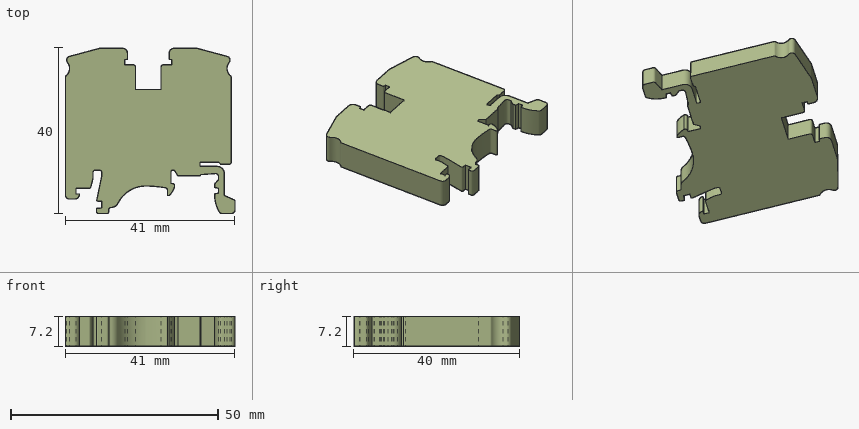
import cadquery as cq
import math

thickness = 7.2
overall_width = 41.0
overall_height = 39.95
body_width = 40.05
mid_x = body_width / 2
rail_ceiling = 9.1

shoulder_x = 8.35
shoulder_angle = 15.0
nose_inset = 0.3
nose_radius = 0.95
grip_radius = 2.3
grip_depth = 1.0
grip_edge_radius = 0.5

opening_half_width = 3.05
opening_floor = 30.0
ledge_y = 35.95
ledge_edge_radius = 0.6
lip_half_gap = 5.0
lip_bottom = 37.15
lip_radius = 1.3
lip_lower_radius = 0.3
undercut_half_width = 5.65

leg_bottom = 3.5
leg_corner_radius = 1.0
leg_toe_x = 3.45
leg_toe_top = 4.8
leg_toe_radius = 1.25
leg_notch_x = 2.6
leg_notch_top = 6.13
leg_inner_x = 6.1
leg_inner_radius = 0.5

flex_slot_left = 6.7
flex_slot_right = 8.75
flex_slot_top = 10.45
leg_flare_y = 8.5
foot_flare_y = 9.05
flex_slot_radius = 0.45

foot_left = 7.5
foot_right = 10.5
foot_heel_bottom = 3.0
foot_heel_radius = 0.3
foot_notch_floor = 1.4
foot_toe_top = 1.3
foot_radius = 0.5
foot_step_y = 1.47
foot_step_radius = 0.49

arch_x = 19.36
arch_crown = 6.65
arch_left_radius = 7.4
arch_right_radius = 27.0
arch_blend_radius = 1.95

hook_left = 24.6
hook_tip_y = 4.35
hook_tip_width = 0.45
hook_tip_radius = 0.25
hook_nose_x = 26.4
hook_nose_y = 6.5
hook_top = 7.3
hook_nose_radius = 0.6
hook_belly_radius = 5.0
hook_corner_radius = 0.5

relief_left = 25.55
relief_top_right = 26.3
relief_bottom_right = 27.15
relief_top = 10.45
relief_radius = 0.2

gap_left = 32.5
gap_bottom = 11.45
gap_top = 12.4
gap_ramp_x = 37.0
gap_mouth_top = 11.9
gap_radius = 0.2
body_corner_radius = 0.5

arm_outer_x = 38.4
arm_inner_x = 36.95
arm_outer_radius = 1.8
arm_inner_radius = 0.7
arm_step_x = 32.7
arm_step_y = 9.4
arm_ceiling = 9.7
latch_x = 36.0
latch_ramp_top = 8.25
latch_ramp_bottom = 7.15
latch_notch_top = 6.3
latch_notch_bottom = 4.8
latch_notch_taper = 0.2
latch_curve_top = 4.3
latch_curve_radius = 8.0
latch_bottom_x = 37.4
handle_inner_y = 4.4
handle_outer_y = 3.25
handle_upper_radius = 0.7
handle_lower_radius = 1.0
latch_bottom_radius = 0.8


def prism(points):
    """Extrude a closed polygon through the full thickness."""
    return cq.Workplane("XY").polyline(points).close().extrude(thickness)


def rounded(solid, radius, *corners):
    """Round the upright edges standing on the given XY corners."""
    for x, y in corners:
        edge = cq.selectors.NearestToPointSelector((x, y, thickness / 2))
        solid = solid.edges("|Z").edges(edge).fillet(radius)
    return solid


def make_body():
    slope = math.radians(shoulder_angle)
    nose_x = nose_inset + nose_radius
    slope_y = overall_height - (shoulder_x - nose_x) * math.tan(slope)
    nose_y = slope_y - nose_radius / math.cos(slope)
    nose_start = (nose_x - nose_radius * math.sin(slope), nose_y + nose_radius * math.cos(slope))

    grip_x = grip_depth - grip_radius
    contact_angle = math.acos((nose_x - grip_x) / (nose_radius + grip_radius))
    grip_y = nose_y - (nose_radius + grip_radius) * math.sin(contact_angle)
    grip_start = (
        grip_x + grip_radius * math.cos(contact_angle),
        grip_y + grip_radius * math.sin(contact_angle),
    )
    grip_end_y = grip_y - math.sqrt(grip_radius**2 - grip_x**2)

    half = (
        cq.Workplane("XY")
        .moveTo(mid_x, rail_ceiling)
        .lineTo(0, rail_ceiling)
        .lineTo(0, grip_end_y)
        .threePointArc((grip_depth, grip_y), grip_start)
        .threePointArc((nose_inset, nose_y), nose_start)
        .lineTo(shoulder_x, overall_height)
        .lineTo(mid_x - lip_half_gap, overall_height)
        .lineTo(mid_x - lip_half_gap, lip_bottom)
        .lineTo(mid_x - undercut_half_width, lip_bottom)
        .lineTo(mid_x - undercut_half_width, ledge_y)
        .lineTo(mid_x - opening_half_width, ledge_y)
        .lineTo(mid_x - opening_half_width, opening_floor)
        .lineTo(mid_x, opening_floor)
        .close()
        .extrude(thickness)
    )
    half = rounded(half, grip_edge_radius, (0, grip_end_y))
    half = rounded(half, lip_radius, (mid_x - lip_half_gap, overall_height))
    half = rounded(half, lip_lower_radius, (mid_x - lip_half_gap, lip_bottom))
    half = rounded(half, ledge_edge_radius, (mid_x - opening_half_width, ledge_y))
    return half.union(half.mirror("YZ", (mid_x, 0, 0)))


def make_left_leg():
    leg = (
        cq.Workplane("XY")
        .moveTo(0, rail_ceiling)
        .lineTo(0, leg_bottom)
        .lineTo(leg_toe_x - leg_toe_radius, leg_bottom)
        .tangentArcPoint((leg_toe_x, leg_bottom + leg_toe_radius), relative=False)
        .lineTo(leg_toe_x, leg_toe_top)
        .lineTo(leg_notch_x, leg_toe_top)
        .lineTo(leg_notch_x, leg_notch_top)
        .lineTo(leg_inner_x, leg_notch_top)
        .lineTo(flex_slot_left, leg_flare_y)
        .lineTo(flex_slot_left, rail_ceiling)
        .close()
        .extrude(thickness)
    )
    leg = rounded(leg, leg_corner_radius, (0, leg_bottom))
    return rounded(leg, leg_inner_radius, (leg_inner_x, leg_notch_top))


def make_foot_and_hook():
    arch_center_y = arch_crown - arch_left_radius
    blend_center_y = foot_step_y + arch_blend_radius
    center_distance = arch_left_radius + arch_blend_radius
    blend_angle = math.asin((blend_center_y - arch_center_y) / center_distance)
    blend_start_x = arch_x - center_distance * math.cos(blend_angle)
    blend_end = (
        arch_x - arch_left_radius * math.cos(blend_angle),
        arch_center_y + arch_left_radius * math.sin(blend_angle),
    )
    run = hook_left - arch_x
    arch_end_y = arch_crown - arch_right_radius + math.sqrt(arch_right_radius**2 - run**2)

    hook_tip_right = hook_left + hook_tip_width
    part = (
        cq.Workplane("XY")
        .moveTo(flex_slot_right, rail_ceiling)
        .lineTo(flex_slot_right, foot_flare_y)
        .lineTo(foot_left, foot_heel_bottom)
        .lineTo(flex_slot_right, foot_heel_bottom)
        .lineTo(flex_slot_right, foot_notch_floor)
        .lineTo(foot_left, foot_toe_top)
        .lineTo(foot_left, 0)
        .lineTo(foot_right, 0)
        .lineTo(foot_right, foot_step_y)
        .lineTo(blend_start_x, foot_step_y)
        .tangentArcPoint(blend_end, relative=False)
        .tangentArcPoint((arch_x, arch_crown), relative=False)
        .tangentArcPoint((hook_left, arch_end_y), relative=False)
        .lineTo(hook_left, hook_tip_y)
        .lineTo(hook_tip_right, hook_tip_y)
        .radiusArc((hook_nose_x, hook_nose_y), -hook_belly_radius)
        .lineTo(hook_nose_x, hook_top)
        .lineTo(relief_left, hook_top)
        .lineTo(relief_left, rail_ceiling)
        .close()
        .extrude(thickness)
    )
    part = rounded(part, foot_heel_radius, (foot_left, foot_heel_bottom))
    part = rounded(part, foot_radius, (foot_left, 0), (foot_right, 0))
    part = rounded(part, foot_step_radius, (foot_right, foot_step_y))
    part = rounded(part, hook_corner_radius, (hook_left, arch_end_y))
    part = rounded(part, hook_tip_radius, (hook_left, hook_tip_y))
    return rounded(part, hook_nose_radius, (hook_nose_x, hook_top))


def make_flex_slot():
    slot = prism([
        (flex_slot_left, rail_ceiling),
        (flex_slot_left, flex_slot_top),
        (flex_slot_right, flex_slot_top),
        (flex_slot_right, rail_ceiling),
    ])
    return rounded(
        slot, flex_slot_radius, (flex_slot_left, flex_slot_top), (flex_slot_right, flex_slot_top)
    )


def make_relief_slot():
    slot = prism([
        (relief_left, rail_ceiling),
        (relief_left, relief_top),
        (relief_top_right, relief_top),
        (relief_bottom_right, rail_ceiling),
    ])
    return rounded(slot, relief_radius, (relief_left, relief_top), (relief_top_right, relief_top))


def make_arm_clearance():
    """Space cleared below the right side of the body, down to the rail ceiling."""
    return prism([
        (gap_left, rail_ceiling),
        (gap_left, gap_top),
        (gap_ramp_x, gap_top),
        (gap_ramp_x + gap_top - gap_mouth_top, gap_mouth_top),
        (body_width, gap_mouth_top),
        (body_width, rail_ceiling),
    ])


def make_spring_arm():
    arm = (
        cq.Workplane("XY")
        .moveTo(gap_left, gap_bottom)
        .lineTo(arm_outer_x, gap_bottom)
        .lineTo(arm_outer_x, handle_inner_y)
        .lineTo(overall_width, handle_outer_y)
        .lineTo(overall_width, 0)
        .lineTo(latch_bottom_x, 0)
        .radiusArc((latch_x, latch_curve_top), latch_curve_radius)
        .lineTo(latch_x, latch_notch_bottom)
        .lineTo(arm_inner_x, latch_notch_bottom + latch_notch_taper)
        .lineTo(arm_inner_x, latch_notch_top - latch_notch_taper)
        .lineTo(latch_x, latch_notch_top)
        .lineTo(latch_x, latch_ramp_bottom)
        .lineTo(arm_inner_x, latch_ramp_top)
        .lineTo(arm_inner_x, arm_ceiling)
        .lineTo(arm_step_x, arm_step_y)
        .lineTo(gap_left, rail_ceiling)
        .close()
        .extrude(thickness)
    )
    arm = rounded(arm, arm_outer_radius, (arm_outer_x, gap_bottom))
    arm = rounded(arm, arm_inner_radius, (arm_inner_x, arm_ceiling))
    arm = rounded(arm, handle_upper_radius, (overall_width, handle_outer_y))
    arm = rounded(arm, handle_lower_radius, (overall_width, 0))
    return rounded(arm, latch_bottom_radius, (latch_bottom_x, 0))


result = (
    make_body()
    .cut(make_arm_clearance())
    .union(make_left_leg())
    .union(make_foot_and_hook())
    .cut(make_flex_slot())
    .cut(make_relief_slot())
    .union(make_spring_arm())
    .clean()
)
result = rounded(result, gap_radius, (gap_left, gap_bottom), (gap_left, gap_top))
result = rounded(result, body_corner_radius, (body_width, gap_mouth_top))